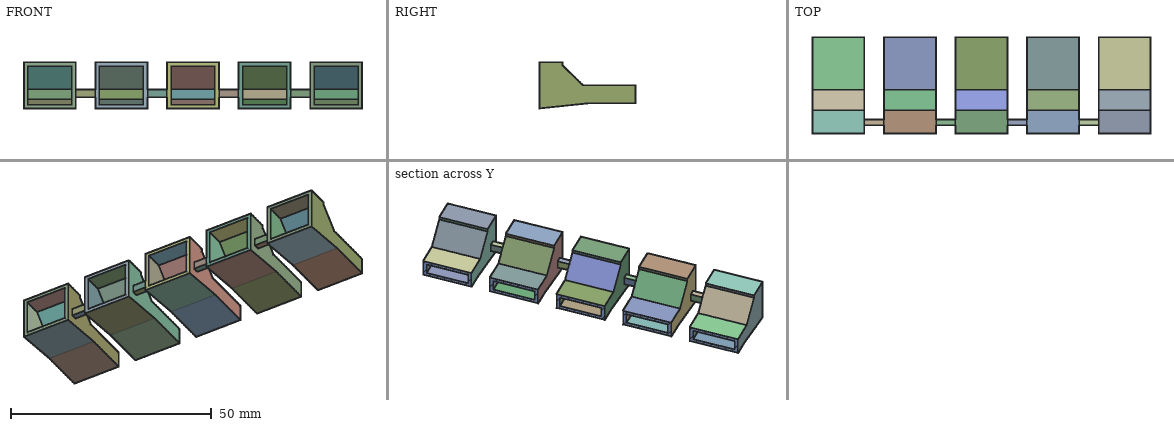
import cadquery as cq
import math

cap_count = 5
row_length = 84.2
cap_width = 13.0
cap_depth = 24.0
cap_height = 11.5
wall = 1.0
pitch = (row_length - cap_width) / (cap_count - 1)

tail_bottom = 1.3
tail_thickness = 4.55
tail_top = tail_bottom + tail_thickness
underside_length = cap_depth / 2
head_length = 5.8
head_step = 0.75
shoulder_top = cap_height - head_step
shoulder_length = 5.05
shoulder_end = head_length + shoulder_length
shoulder_drop = shoulder_top - tail_top
shoulder_angle = math.atan2(shoulder_drop, shoulder_length)

mouth_bottom = wall
mouth_top = cap_height - wall
cavity_end = cap_depth - wall
cavity_tail_bottom = tail_bottom + wall
cavity_tail_top = tail_top - wall
ceiling_end = shoulder_end - wall * math.tan(shoulder_angle / 2)
ceiling_start = ceiling_end - (mouth_top - cavity_tail_top) / math.tan(shoulder_angle)

bar_front = 2.0
bar_depth = 1.5
bar_bottom = 2.8
bar_height = 2.0


def extrude_profile(points, width, start_x):
    """Extrude a (Y, Z) outline along +X from start_x."""
    return cq.Workplane("YZ").workplane(offset=start_x).polyline(points).close().extrude(width)


def make_cap(start_x):
    body = extrude_profile(
        [
            (0, 0),
            (underside_length, tail_bottom),
            (cap_depth, tail_bottom),
            (cap_depth, tail_top),
            (shoulder_end, tail_top),
            (head_length, shoulder_top),
            (head_length, cap_height),
            (0, cap_height),
        ],
        cap_width,
        start_x,
    )
    cavity = extrude_profile(
        [
            (0, mouth_bottom),
            (underside_length, cavity_tail_bottom),
            (cavity_end, cavity_tail_bottom),
            (cavity_end, cavity_tail_top),
            (ceiling_end, cavity_tail_top),
            (ceiling_start, mouth_top),
            (0, mouth_top),
        ],
        cap_width - 2 * wall,
        start_x + wall,
    )
    return body.cut(cavity)


def make_bar(start_x):
    bar_length = pitch - cap_width
    bar = cq.Workplane("XY").box(bar_length, bar_depth, bar_height, centered=False)
    return bar.translate((start_x, bar_front, bar_bottom))


result = make_cap(0)
for index in range(1, cap_count):
    cap_start = index * pitch
    bar_start = cap_start - pitch + cap_width
    result = result.union(make_bar(bar_start)).union(make_cap(cap_start))